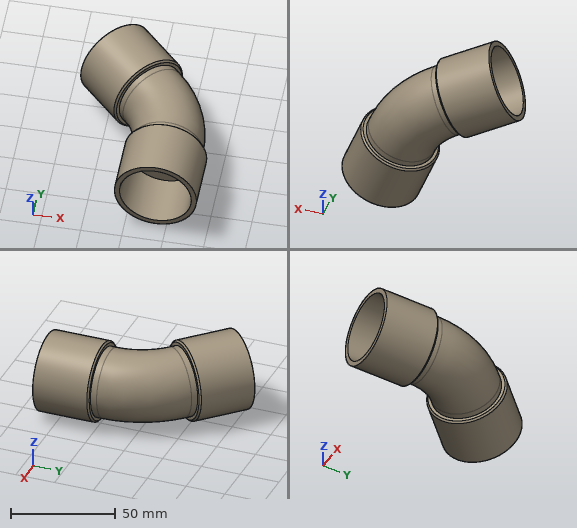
import cadquery as cq
import math

socket_diameter = 40.0
socket_length = 28.9
bore_diameter = 35.0
bore_depth = 26.0
rim_chamfer = 0.9
neck_length = 3.2
bend_angle = 45
bend_radius = 42.0

straight_length = socket_length + neck_length
bend_radians = math.radians(bend_angle)

first_mouth = cq.Plane(origin=(0, 0, 0), xDir=(1, 0, 0), normal=(0, 1, 0))
bend_start = cq.Plane(origin=(0, straight_length, 0), xDir=(1, 0, 0), normal=(0, 1, 0))
out_x = -math.sin(bend_radians)
out_y = math.cos(bend_radians)
second_mouth = cq.Plane(
    origin=(
        -bend_radius * (1 - math.cos(bend_radians)) + straight_length * out_x,
        straight_length + bend_radius * math.sin(bend_radians) + straight_length * out_y,
        0,
    ),
    xDir=(0, 0, 1),
    normal=(-out_x, -out_y, 0),
)


def socket_with_neck(mouth):
    """Blind socket and straight neck, extending inward from its mouth."""
    neck = cq.Workplane(mouth).circle(bore_diameter / 2).extrude(straight_length)
    socket = (
        cq.Workplane(mouth)
        .circle(socket_diameter / 2)
        .extrude(socket_length)
        .faces(cq.selectors.DirectionMinMaxSelector(mouth.zDir, True))
        .chamfer(rim_chamfer)
    )
    bore = cq.Workplane(mouth).circle(bore_diameter / 2).extrude(bore_depth)
    return socket.union(neck).cut(bore)


def bend():
    """Solid elbow, revolved about a Z axis on the inside of the turn."""
    return (
        cq.Workplane(bend_start)
        .circle(bore_diameter / 2)
        .revolve(bend_angle, (-bend_radius, 1, 0), (-bend_radius, -1, 0))
    )


result = bend().union(socket_with_neck(first_mouth)).union(socket_with_neck(second_mouth))